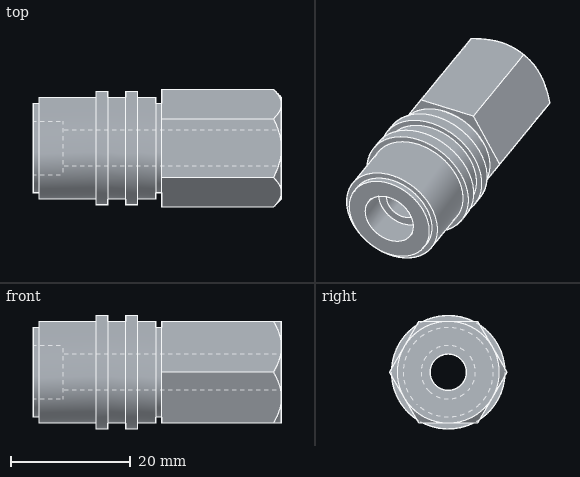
import cadquery as cq
import math

total_length = 41.5
nose_diameter = 15.0
nose_length = 1.0
neck_length = 1.0
body_diameter = 17.0
ring_diameter = 19.0
ring_width = 2.0
ring_starts = (10.5, 15.5)
hex_start = 21.5
hex_across_flats = 17.0
counterbore_diameter = 9.0
counterbore_depth = 5.0
bore_diameter = 6.0

body_end = hex_start - neck_length
hex_across_corners = hex_across_flats / math.cos(math.pi / 6)
corner_chamfer = (hex_across_corners - hex_across_flats) / 2


def cylinder(diameter, start, end):
    """Round section on the part axis between two X positions."""
    return cq.Workplane("YZ", origin=(start, 0, 0)).circle(diameter / 2).extrude(end - start)


def hexagon():
    """Wrench section with corners on Y, its far end turned down to a 45 degree cone."""
    prism = (
        cq.Workplane("YZ", origin=(hex_start, 0, 0))
        .polygon(6, hex_across_corners)
        .extrude(total_length - hex_start)
    )
    turned_blank = (
        cylinder(hex_across_corners, hex_start, total_length)
        .faces(">X")
        .chamfer(corner_chamfer)
    )
    return prism.intersect(turned_blank)


result = cylinder(nose_diameter, 0, hex_start)
result = result.union(cylinder(body_diameter, nose_length, body_end))
for ring_start in ring_starts:
    result = result.union(cylinder(ring_diameter, ring_start, ring_start + ring_width))
result = result.union(hexagon())

result = result.cut(cylinder(counterbore_diameter, 0, counterbore_depth))
result = result.cut(cylinder(bore_diameter, 0, total_length))